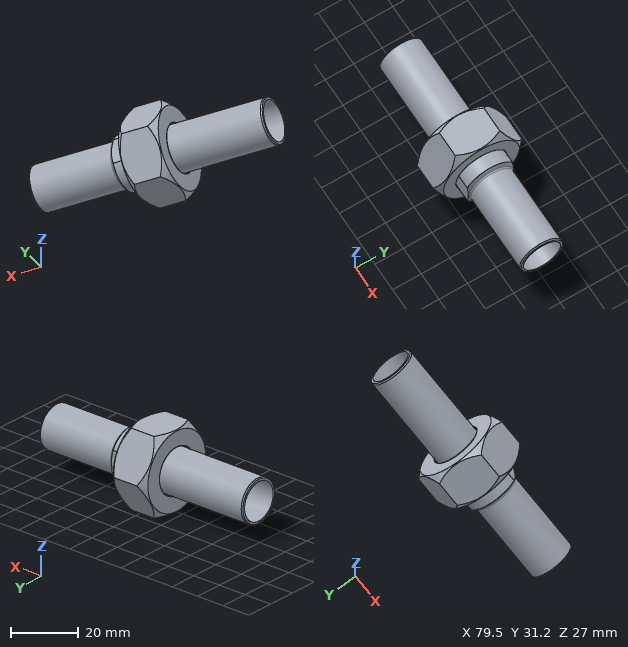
import cadquery as cq
import math

LENGTH = 79.5
NUT_START = 32.0
NUT_WIDTH = 13.5
NUT_END = NUT_START + NUT_WIDTH
JOINT = NUT_START + NUT_WIDTH / 2

TUBE_RADIUS = 15.0 / 2
BORE_RADIUS = 13.0 / 2
TIP_LENGTH = 0.5
TIP_DROP = 0.2

COLLAR_RADIUS = 18.0 / 2
COLLAR_END = 50.3
COLLAR_FLATS = 16.0
COLLAR_SLOPE = math.radians(30)
COLLAR_FILLET = 0.6
EDGE_MARGIN = 0.1
CONE_LENGTH = (COLLAR_RADIUS - TUBE_RADIUS) * math.tan(COLLAR_SLOPE)

ACROSS_FLATS = 27.0
ACROSS_CORNERS = ACROSS_FLATS / math.cos(math.radians(30))
NUT_FACE_RADIUS = 26.55 / 2
NUT_BEVEL = math.radians(45)
NUT_HOLE_RADIUS = 15.5 / 2
NUT_HOLE_CHAMFER = 0.2


def revolve_about_x(points):
    """Solid of revolution of an (x, radius) outline about the X axis."""
    return cq.Workplane("XY").polyline(points).close().revolve(360, (0, 0, 0), (1, 0, 0))


def cylinder(start, end, radius):
    return cq.Workplane("YZ").workplane(offset=start).circle(radius).extrude(end - start)


def make_left_tube():
    return revolve_about_x([
        (0, BORE_RADIUS),
        (0, TUBE_RADIUS - TIP_DROP),
        (TIP_LENGTH, TUBE_RADIUS),
        (JOINT, TUBE_RADIUS),
        (JOINT, BORE_RADIUS),
    ])


def make_right_tube():
    cone_foot = COLLAR_END + CONE_LENGTH
    body = revolve_about_x([
        (JOINT, 0),
        (JOINT, COLLAR_RADIUS),
        (COLLAR_END, COLLAR_RADIUS),
        (cone_foot, TUBE_RADIUS),
        (LENGTH - TIP_LENGTH, TUBE_RADIUS),
        (LENGTH, TUBE_RADIUS - TIP_DROP),
        (LENGTH, 0),
    ])
    foot_edge = cq.selectors.BoxSelector(
        (cone_foot - EDGE_MARGIN, -COLLAR_RADIUS, -COLLAR_RADIUS),
        (cone_foot + EDGE_MARGIN, COLLAR_RADIUS, COLLAR_RADIUS),
        boundingbox=True,
    )
    body = body.edges(foot_edge).fillet(COLLAR_FILLET)

    slab = cq.Workplane("XY").box(2 * LENGTH, COLLAR_FLATS, 2 * ACROSS_FLATS)
    return body.intersect(slab).cut(cylinder(JOINT, LENGTH, BORE_RADIUS))


def make_nut():
    corner_radius = ACROSS_CORNERS / 2
    bevel_length = (corner_radius - NUT_FACE_RADIUS) * math.tan(NUT_BEVEL)
    hexagon = (
        cq.Workplane("YZ").workplane(offset=NUT_START)
        .polygon(6, ACROSS_CORNERS).extrude(NUT_WIDTH)
    )
    bevel = revolve_about_x([
        (NUT_START, 0),
        (NUT_START, NUT_FACE_RADIUS),
        (NUT_START + bevel_length, corner_radius),
        (NUT_END - bevel_length, corner_radius),
        (NUT_END, NUT_FACE_RADIUS),
        (NUT_END, 0),
    ])
    hole = revolve_about_x([
        (NUT_START, 0),
        (NUT_START, NUT_HOLE_RADIUS + NUT_HOLE_CHAMFER),
        (NUT_START + NUT_HOLE_CHAMFER, NUT_HOLE_RADIUS),
        (JOINT, NUT_HOLE_RADIUS),
        (JOINT, COLLAR_RADIUS),
        (NUT_END, COLLAR_RADIUS),
        (NUT_END, 0),
    ])
    return hexagon.intersect(bevel).cut(hole)


left_tube = make_left_tube()
right_tube = make_right_tube()
nut = make_nut()

result = cq.Compound.makeCompound([
    *left_tube.solids().vals(),
    *right_tube.solids().vals(),
    *nut.solids().vals(),
])